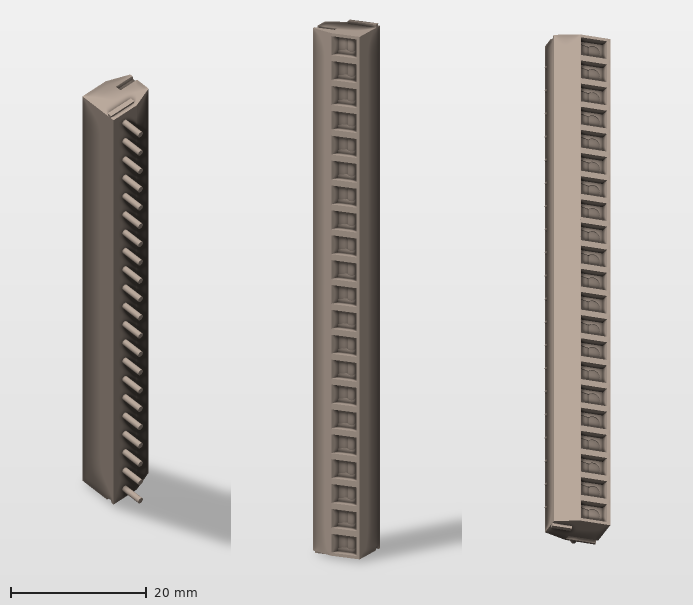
import cadquery as cq

POLES = 21
PITCH = 3.81
HOUSING_LENGTH = POLES * PITCH
HOUSING_WIDTH = 6.8
HOUSING_DEPTH = 8.3
SHOULDER_Y = 4.65
FLANK_RUN = 1.4

PIN_DIAMETER = 0.95
PIN_LENGTH = 3.5
PIN_Y = 2.2

POCKET_HEIGHT = 2.9
POCKET_DEPTH = 1.4
POCKET_MOUTH_START_Y = 0.5
POCKET_FLOOR_START_Y = 0.7
POCKET_FLOOR_END_Y = 4.22
POCKET_MOUTH_END_Y = 4.6

SEAT_DIAMETER = 2.1
SEAT_Y = 2.2
RECESS_DEPTH = 0.15
CHANNEL_WIDE = 2.1
CHANNEL_NARROW = 1.3

GROOVE_START_Y = 2.65
GROOVE_VALLEY_Y = 2.75
GROOVE_END_Y = 3.2
GROOVE_DEPTH = 0.12
GROOVE_LENGTH = 1.65
RECESS_FLOOR_X = POCKET_DEPTH + RECESS_DEPTH

KEY_HEIGHT = 0.5
TONGUE_ROOT_WIDTH = 0.5
TONGUE_TIP_WIDTH = 0.8
SLOT_MOUTH_WIDTH = 1.0
SLOT_FLOOR_WIDTH = 0.65
WIRE_KEY_X = 2.37
WIRE_SLOT_LENGTH = 3.3
WIRE_TONGUE_LENGTH = 3.05
PIN_KEY_X = 5.9
PIN_KEY_LENGTH = SHOULDER_Y

MARK_RADIUS = 0.25
MARK_X = 4.8


def pole_z(index):
    """Mid-height of a pole."""
    return (index + 0.5) * PITCH


def housing():
    outline = [
        (0, 0),
        (HOUSING_WIDTH, 0),
        (HOUSING_WIDTH, SHOULDER_Y),
        (HOUSING_WIDTH - FLANK_RUN, HOUSING_DEPTH),
        (FLANK_RUN, HOUSING_DEPTH),
        (0, SHOULDER_Y),
    ]
    return cq.Workplane("XY").polyline(outline).close().extrude(HOUSING_LENGTH)


def pin(z):
    return (
        cq.Workplane("YZ", origin=(HOUSING_WIDTH, PIN_Y, z))
        .circle(PIN_DIAMETER / 2)
        .extrude(PIN_LENGTH)
    )


def prism_along_z(section, z, height):
    """Prism of an XY section, centred on z."""
    return cq.Workplane("XY", origin=(0, 0, z - height / 2)).polyline(section).close().extrude(height)


def pocket_mouth(z):
    section = [
        (0, POCKET_MOUTH_START_Y),
        (POCKET_DEPTH, POCKET_FLOOR_START_Y),
        (POCKET_DEPTH, POCKET_FLOOR_END_Y),
        (0, POCKET_MOUTH_END_Y),
    ]
    return prism_along_z(section, z, POCKET_HEIGHT)


def keyhole(z):
    """Round seat and the channel that tapers towards it from the far end of the pocket floor."""
    floor = cq.Workplane("YZ", origin=(POCKET_DEPTH, 0, z))
    seat = floor.center(SEAT_Y, 0).circle(SEAT_DIAMETER / 2).extrude(RECESS_DEPTH)
    plan = [
        (POCKET_FLOOR_END_Y, -CHANNEL_WIDE / 2),
        (POCKET_FLOOR_END_Y, CHANNEL_WIDE / 2),
        (SEAT_Y, CHANNEL_NARROW / 2),
        (SEAT_Y, -CHANNEL_NARROW / 2),
    ]
    channel = floor.polyline(plan).close().extrude(RECESS_DEPTH)
    return seat.union(channel)


def floor_groove(z):
    section = [
        (RECESS_FLOOR_X, GROOVE_START_Y),
        (RECESS_FLOOR_X + GROOVE_DEPTH, GROOVE_VALLEY_Y),
        (RECESS_FLOOR_X, GROOVE_END_Y),
    ]
    return prism_along_z(section, z, GROOVE_LENGTH)


def wire_entry(z):
    return pocket_mouth(z).union(keyhole(z)).union(floor_groove(z))


def key(x, z, start_y, length, base_width, far_width, direction):
    """Bar along Y; its width changes from base_width at z to far_width at one key height away."""
    far_z = z + direction * KEY_HEIGHT
    section = [
        (x - base_width / 2, z),
        (x + base_width / 2, z),
        (x + far_width / 2, far_z),
        (x - far_width / 2, far_z),
    ]
    return cq.Workplane("XZ", origin=(0, start_y, 0)).polyline(section).close().extrude(-length)


def tongue(x, z, start_y, length, direction):
    return key(x, z, start_y, length, TONGUE_ROOT_WIDTH, TONGUE_TIP_WIDTH, direction)


def slot(x, z, start_y, length, direction):
    return key(x, z, start_y, length, SLOT_MOUTH_WIDTH, SLOT_FLOOR_WIDTH, direction)


def mark(z):
    return cq.Workplane("XY").sphere(MARK_RADIUS).translate((MARK_X, HOUSING_DEPTH, z))


UP = 1
DOWN = -1

result = housing()

result = result.cut(
    slot(WIRE_KEY_X, HOUSING_LENGTH, HOUSING_DEPTH - WIRE_SLOT_LENGTH, WIRE_SLOT_LENGTH, DOWN)
)
result = result.union(
    tongue(WIRE_KEY_X, 0, HOUSING_DEPTH - WIRE_TONGUE_LENGTH, WIRE_TONGUE_LENGTH, DOWN)
)

result = result.union(tongue(PIN_KEY_X, HOUSING_LENGTH, 0, PIN_KEY_LENGTH, UP))
result = result.cut(slot(PIN_KEY_X, 0, 0, PIN_KEY_LENGTH, UP))

for pole in range(POLES):
    result = result.cut(wire_entry(pole_z(pole)))
    result = result.union(pin(pole_z(pole)))

for boundary in range(1, POLES):
    result = result.union(mark(boundary * PITCH))